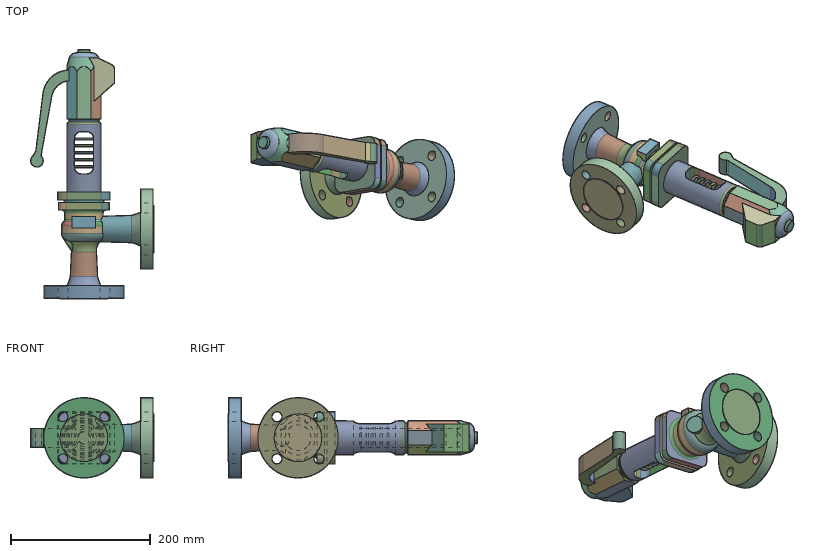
import cadquery as cq
import math


FACE_DISTANCE = 100.0
FLANGE_DIAMETER = 115.0
FLANGE_THICKNESS = 18.0
RAISED_FACE_DIAMETER = 68.0
RAISED_FACE_HEIGHT = 1.0
BOLT_CIRCLE = 85.0
BOLT_HOLE_DIAMETER = 14.0
BOLT_COUNT = 4
PIPE_ROOT_RADIUS = 18.1
PIPE_END_RADIUS = 19.7
HUB_RADIUS = 24.4
HUB_LENGTH = 13.4
FLARE_HOLLOW = 0.4
INLET_PIPE_ROOT = 33.0
OUTLET_PIPE_ROOT = 15.0

NECK_RADIUS = 27.5
NECK_FILLET = 4.0
BULGE_RADIUS = 32.0
BULGE_TOP = 4.7
BULGE_BOTTOM = -6.2
BULGE_CORNER = 12.0
SHOULDER_Y = 13.9
SHOULDER_HOLLOW_SHARE = 1 / 3
LOWER_CORNER_RADIUS = 24.0
THROAT_RADIUS = 17.0

LOWER_PLATE_SIZE = 73.0
LOWER_PLATE_CORNER = 11.0
LOWER_PLATE_Y = (27.0, 38.0)
JOINT_RADIUS = 28.6
UPPER_PLATE_SIZE = 75.0
UPPER_PLATE_CORNER = 13.0
UPPER_PLATE_Y = (41.3, 53.2)

TUBE_RADIUS = 24.4
TUBE_TOP = 152.7
TUBE_ROUNDING = 2.8
WINDOW_WIDTH = 27.0
WINDOW_Y = (79.0, 139.0)
WINDOW_CORNER = 9.5
COIL_COUNT = 5
COIL_PITCH = 9.9
COIL_RADIUS = 14.0
WIRE_DIAMETER = 3.2

GROOVE_RADIUS = 21.4
SKIRT_RADIUS = 22.3
SKIRT_BOTTOM = 155.6
CAP_BOTTOM = 157.3
CAP_ACROSS_FLATS = 48.8
CAP_SIDES = 8
CONE_TOP_Y = 245.6
CONE_TOP_RADIUS = 20.9
CONE_BASE_Y = 225.3
BUTTON_RADIUS = 8.4
BUTTON_BASE_RADIUS = 9.2
BUTTON_BASE_Y = 252.0
DOME_MID = (16.9, 250.2)
CAP_TOP = 256.5

LEVER_WIDTH = 27.0
LEVER_REACH = 76.27
LEVER_ROOT_Y = (212.0, 227.3)
LEVER_ROOT_X = (-20.0, -23.0)
OUTER_BEND_MID = (-44.5, 219.0)
OUTER_BEND_END = (-58.8, 193.0)
INNER_BEND_MID = (-38.0, 204.3)
INNER_BEND_END = (-45.8, 190.0)
OUTER_ARM_END = (-69.0, 111.0)
INNER_ARM_END = (-60.7, 107.0)
GRIP_RADIUS = 9.1
GRIP_CENTER = (-LEVER_REACH + GRIP_RADIUS, 97.6)
OUTER_GRIP_JOIN = (-73.0, 104.5)
INNER_GRIP_JOIN = (-60.7, 104.0)
LUG_WIDTH = 40.0
LUG_REACH = 43.9
LUG_FOOT = (14.5, 182.7)
LUG_LOW_CORNER_Y = 208.7
LUG_HIGH_CORNER_Y = 233.1
LUG_SHOULDER = (21.0, 244.2)
LUG_CORNER = 8.0

BOSS_RADIUS = 12.5
BOSS_TILT = 33.6
BOSS_FACE_CENTER = (-23.7, -22.4)
BOSS_DEPTH = 20.0

PAD_LENGTH = 33.5
PAD_WIDTH = 16.0
PAD_CENTER_Y = 9.6
PAD_TOP = 35.0


def connection(pipe_root):
    """Flange with a tapered pipe stub, built along -Y, the sealing face at -FACE_DISTANCE."""
    flange_front = -FACE_DISTANCE + RAISED_FACE_HEIGHT
    flange_back = flange_front + FLANGE_THICKNESS
    pipe_end = flange_back + HUB_LENGTH
    flare_mid = (PIPE_END_RADIUS + FLARE_HOLLOW * (HUB_RADIUS - PIPE_END_RADIUS), pipe_end - HUB_LENGTH / 2)
    stub = (
        cq.Workplane("XY")
        .moveTo(0, -pipe_root)
        .lineTo(PIPE_ROOT_RADIUS, -pipe_root)
        .lineTo(PIPE_END_RADIUS, pipe_end)
        .threePointArc(flare_mid, (HUB_RADIUS, flange_back))
        .lineTo(FLANGE_DIAMETER / 2, flange_back)
        .lineTo(FLANGE_DIAMETER / 2, flange_front)
        .lineTo(RAISED_FACE_DIAMETER / 2, flange_front)
        .lineTo(RAISED_FACE_DIAMETER / 2, -FACE_DISTANCE)
        .lineTo(0, -FACE_DISTANCE)
        .close()
        .revolve(360, (0, 0, 0), (0, 1, 0))
    )
    holes = (
        cq.Workplane("XZ", origin=(0, flange_back, 0))
        .polarArray(BOLT_CIRCLE / 2, 180 / BOLT_COUNT, 360, BOLT_COUNT)
        .circle(BOLT_HOLE_DIAMETER / 2)
        .extrude(FLANGE_THICKNESS + RAISED_FACE_HEIGHT)
    )
    return stub.cut(holes)


def body():
    """Turned valve body from the inlet pipe up to the lower bonnet plate."""
    plate_bottom = LOWER_PLATE_Y[0]
    shoulder_rise = BULGE_RADIUS - NECK_RADIUS
    shoulder_length = SHOULDER_Y - BULGE_TOP
    shoulder_mid = (
        NECK_RADIUS + SHOULDER_HOLLOW_SHARE * shoulder_rise,
        SHOULDER_Y - SHOULDER_HOLLOW_SHARE * shoulder_length,
    )
    radius_sum = (shoulder_length**2 + shoulder_rise**2) / (2 * shoulder_rise)
    hollow_radius = SHOULDER_HOLLOW_SHARE * radius_sum
    round_radius = radius_sum - hollow_radius
    corner_run = LOWER_CORNER_RADIUS - (BULGE_RADIUS - BULGE_CORNER)
    corner_end = (LOWER_CORNER_RADIUS, BULGE_BOTTOM - math.sqrt(BULGE_CORNER**2 - corner_run**2))
    return (
        cq.Workplane("XY")
        .moveTo(0, plate_bottom)
        .lineTo(NECK_RADIUS + NECK_FILLET, plate_bottom)
        .radiusArc((NECK_RADIUS, plate_bottom - NECK_FILLET), -NECK_FILLET)
        .lineTo(NECK_RADIUS, SHOULDER_Y)
        .radiusArc(shoulder_mid, -hollow_radius)
        .radiusArc((BULGE_RADIUS, BULGE_TOP), round_radius)
        .lineTo(BULGE_RADIUS, BULGE_BOTTOM)
        .radiusArc(corner_end, BULGE_CORNER)
        .radiusArc((PIPE_ROOT_RADIUS, -INLET_PIPE_ROOT), -THROAT_RADIUS)
        .lineTo(0, -INLET_PIPE_ROOT)
        .close()
        .revolve(360, (0, 0, 0), (0, 1, 0))
    )


def cylinder(radius, bottom, top):
    """Cylinder about Y."""
    return cq.Workplane("XZ", origin=(0, bottom, 0)).circle(radius).extrude(bottom - top)


def square_plate(size, corner, span):
    """Square bonnet plate with rounded corners."""
    bottom, top = span
    plate = cq.Workplane("XZ", origin=(0, bottom, 0)).rect(size, size).extrude(bottom - top)
    return plate.edges("|Y").fillet(corner)


def bonnet_tube():
    """Solid tube with a through window that shows the spring coils."""
    tube = cylinder(TUBE_RADIUS, UPPER_PLATE_Y[1], TUBE_TOP).faces(">Y").edges().fillet(TUBE_ROUNDING)
    window_center = sum(WINDOW_Y) / 2
    window = (
        cq.Workplane("XY", origin=(0, window_center, 0))
        .rect(WINDOW_WIDTH, WINDOW_Y[1] - WINDOW_Y[0])
        .extrude(TUBE_RADIUS, both=True)
        .edges("|Z")
        .fillet(WINDOW_CORNER)
    )
    tube = tube.cut(window)
    for index in range(COIL_COUNT):
        coil_y = window_center + (index - (COIL_COUNT - 1) / 2) * COIL_PITCH
        coil = (
            cq.Workplane("XY")
            .center(COIL_RADIUS, coil_y)
            .circle(WIRE_DIAMETER / 2)
            .revolve(360, (-COIL_RADIUS, 0, 0), (-COIL_RADIUS, 1, 0))
        )
        tube = tube.union(coil)
    return tube


def cap():
    """Octagonal cap trimmed by a cone, closed by a dome and a small button."""
    corner_radius = CAP_ACROSS_FLATS / 2 / math.cos(math.pi / CAP_SIDES)
    prism = (
        cq.Workplane("XZ", origin=(0, CAP_BOTTOM, 0))
        .polygon(CAP_SIDES, 2 * corner_radius)
        .extrude(CAP_BOTTOM - CAP_TOP)
        .rotate((0, 0, 0), (0, 1, 0), 180 / CAP_SIDES)
    )
    envelope = (
        cq.Workplane("XY")
        .moveTo(0, CAP_BOTTOM)
        .lineTo(corner_radius, CAP_BOTTOM)
        .lineTo(corner_radius, CONE_BASE_Y)
        .lineTo(CONE_TOP_RADIUS, CONE_TOP_Y)
        .threePointArc(DOME_MID, (BUTTON_BASE_RADIUS, BUTTON_BASE_Y))
        .lineTo(BUTTON_RADIUS, CAP_TOP)
        .lineTo(0, CAP_TOP)
        .close()
        .revolve(360, (0, 0, 0), (0, 1, 0))
    )
    return prism.intersect(envelope)


def lever():
    """Curved lifting lever ending in a round grip."""
    root_bottom, root_top = LEVER_ROOT_Y
    inner_root_x, outer_root_x = LEVER_ROOT_X
    arm = (
        cq.Workplane("XY")
        .moveTo(0, root_top)
        .lineTo(outer_root_x, root_top)
        .threePointArc(OUTER_BEND_MID, OUTER_BEND_END)
        .lineTo(*OUTER_ARM_END)
        .lineTo(*OUTER_GRIP_JOIN)
        .lineTo(*GRIP_CENTER)
        .lineTo(*INNER_GRIP_JOIN)
        .lineTo(*INNER_ARM_END)
        .lineTo(*INNER_BEND_END)
        .threePointArc(INNER_BEND_MID, (inner_root_x, root_bottom))
        .lineTo(0, root_bottom)
        .close()
        .extrude(LEVER_WIDTH / 2, both=True)
    )
    grip = cq.Workplane("XY").center(*GRIP_CENTER).circle(GRIP_RADIUS).extrude(LEVER_WIDTH / 2, both=True)
    return arm.union(grip)


def lug():
    """Flat lug on the cap opposite to the lever."""
    blank = (
        cq.Workplane("XY")
        .moveTo(0, LUG_FOOT[1])
        .lineTo(*LUG_FOOT)
        .lineTo(LUG_REACH, LUG_LOW_CORNER_Y)
        .lineTo(LUG_REACH, LUG_HIGH_CORNER_Y)
        .lineTo(*LUG_SHOULDER)
        .lineTo(0, LUG_SHOULDER[1])
        .close()
        .extrude(LUG_WIDTH / 2, both=True)
    )
    outer_corner = cq.selectors.NearestToPointSelector((LUG_REACH, LUG_HIGH_CORNER_Y, 0))
    return blank.edges(outer_corner).fillet(LUG_CORNER)


def drain_boss():
    """Round boss tilted downward on the side away from the outlet."""
    tilt = math.radians(BOSS_TILT)
    face = cq.Plane(
        origin=(BOSS_FACE_CENTER[0], BOSS_FACE_CENTER[1], 0),
        xDir=(0, 0, 1),
        normal=(-math.cos(tilt), -math.sin(tilt), 0),
    )
    return cq.Workplane(face).circle(BOSS_RADIUS).extrude(-BOSS_DEPTH)


def name_pad():
    """Rectangular pad rising from the body."""
    return cq.Workplane("XY", origin=(0, PAD_CENTER_Y, 0)).rect(PAD_LENGTH, PAD_WIDTH).extrude(PAD_TOP)


inlet = connection(INLET_PIPE_ROOT)
outlet = connection(OUTLET_PIPE_ROOT).rotate((0, 0, 0), (0, 0, 1), 90)

result = (
    body()
    .union(inlet)
    .union(outlet)
    .union(drain_boss())
    .union(name_pad())
    .union(square_plate(LOWER_PLATE_SIZE, LOWER_PLATE_CORNER, LOWER_PLATE_Y))
    .union(cylinder(JOINT_RADIUS, LOWER_PLATE_Y[1], UPPER_PLATE_Y[0]))
    .union(square_plate(UPPER_PLATE_SIZE, UPPER_PLATE_CORNER, UPPER_PLATE_Y))
    .union(bonnet_tube())
    .union(cylinder(GROOVE_RADIUS, TUBE_TOP, SKIRT_BOTTOM))
    .union(cylinder(SKIRT_RADIUS, SKIRT_BOTTOM, CAP_BOTTOM))
    .union(cap())
    .union(lever())
    .union(lug())
)